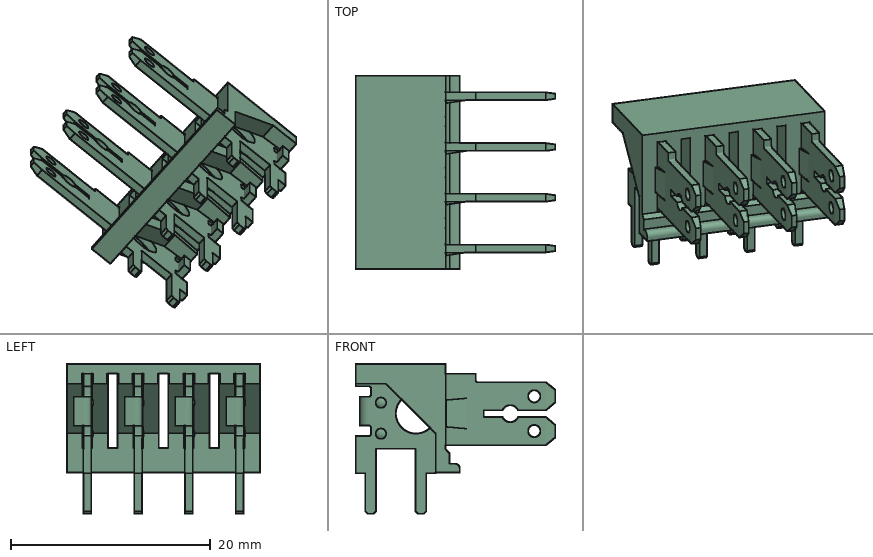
import cadquery as cq

POLES = 4
PITCH = 5.08
PLATE_THICK = 0.8

HOUSING_LENGTH = 19.35
TOTAL_HEIGHT = 15.0
HOUSING_DEPTH = 9.0
HOUSING_BASE_Z = 4.12
FRONT_LIP_Z = 13.0
FRONT_LIP_DEPTH = 3.05
WEB_FACE_X = 8.0
FOOT_END_X = 10.45
FOOT_TOP_Z = 5.02
FOOT_ROUND = 0.5
STEP_X = 9.4
STEP_Z = 6.05
STEP_SLOPE_TOP_Z = 6.5

SLOT_WIDTH = 0.95
SLOT_BOTTOM_Z = 6.6
SLOT_TOP_Z = 14.05
SLOT_MOUTH_WIDTH = 1.15
SLOT_MOUTH_DEPTH = FRONT_LIP_DEPTH

SHOULDER_Z = 4.05
LEG_WIDTH = 1.1
LEG_FRONT_X = 0.95
LEG_GAP = 3.92
LEG_GAP_TOP_Z = 6.5
LEG_TIP_CHAMFER = 0.25
TERMINAL_TOP_Z = SLOT_TOP_Z
NECK_END_X = 12.05

BLADE_MID_Z = 10.02
BLADE_WIDTH = 6.32
BLADE_END_X = 20.0
BLADE_TAPER = 0.95
BLADE_TIP_INSET = 0.78
PRONG_TIP_WIDTH = 1.25
BLADE_TIP_THICK = 0.52
BLADE_SLIT_WIDTH = 0.65
BLADE_SLIT_START_X = 12.85
SLIT_EYE_X = 15.48
SLIT_EYE_DIAMETER = 1.68
PRONG_HOLE_X = 17.88
PRONG_HOLE_OFFSET = 1.75
PRONG_HOLE_DIAMETER = 1.2
CORNER_ROUND = 0.15

WINDOW_X = 6.05
WINDOW_Z = 10.05
WINDOW_DIAMETER = 4.0

NOTCH_DEPTH = 1.55
NOTCH_ROUND = 0.22
NOTCH_BOTTOM_Z = 7.8
NOTCH_TOP_Z = 12.75
TAB_BOTTOM_Z = 8.82
TAB_TOP_Z = 11.72
TAB_FRONT_X = 0.4
TAB_BEND_RADIUS = 0.85
TAB_REACH = 1.75

DIMPLE_X = 2.55
DIMPLE_BOTTOM_Z = 8.02
DIMPLE_TOP_Z = 11.12
DIMPLE_DIAMETER = 1.05
DIMPLE_HEIGHT = 0.18

BARB_START_X = 9.05
BARB_END_X = 11.08
BARB_MID_Z = 10.05
BARB_START_HEIGHT = 2.68
BARB_END_HEIGHT = 3.05
BARB_LIFT = 0.3

SLOT_PITCH = PITCH / 2
SLOT_COUNT = 2 * POLES - 1
BLADE_TOP_Z = BLADE_MID_Z + BLADE_WIDTH / 2
BLADE_BOTTOM_Z = BLADE_MID_Z - BLADE_WIDTH / 2
BLADE_TIP_TOP_Z = BLADE_TOP_Z - BLADE_TIP_INSET
BLADE_TIP_BOTTOM_Z = BLADE_BOTTOM_Z + BLADE_TIP_INSET
REAR_LEG_X = LEG_FRONT_X + LEG_WIDTH + LEG_GAP
TAPER_START_X = BLADE_END_X - BLADE_TAPER
TAB_BEND_X = TAB_FRONT_X + TAB_BEND_RADIUS
PLATE_FACE_Y = -PLATE_THICK / 2


def centred_places(count, spacing):
    """Y places of a row that is centred on Y = 0."""
    return [(i - (count - 1) / 2) * spacing for i in range(count)]


def extrude_along_y(sketch, width):
    """Extrude an XZ sketch symmetrically about Y = 0."""
    return sketch.extrude(width).translate((0, width / 2, 0))


def y_cylinder(x, z, diameter):
    """Cutting cylinder through the terminal plate."""
    return extrude_along_y(cq.Workplane("XZ").center(x, z).circle(diameter / 2), 2 * PLATE_THICK)


def housing_block():
    diagonal_end_z = FRONT_LIP_Z - (WEB_FACE_X - FRONT_LIP_DEPTH)
    outline = (
        cq.Workplane("XZ")
        .moveTo(0, FRONT_LIP_Z)
        .lineTo(FRONT_LIP_DEPTH, FRONT_LIP_Z)
        .lineTo(WEB_FACE_X, diagonal_end_z)
        .lineTo(WEB_FACE_X, HOUSING_BASE_Z)
        .lineTo(FOOT_END_X, HOUSING_BASE_Z)
        .lineTo(FOOT_END_X, FOOT_TOP_Z - FOOT_ROUND)
        .radiusArc((FOOT_END_X - FOOT_ROUND, FOOT_TOP_Z), -FOOT_ROUND)
        .lineTo(STEP_X, FOOT_TOP_Z)
        .lineTo(STEP_X, STEP_Z)
        .lineTo(HOUSING_DEPTH, STEP_SLOPE_TOP_Z)
        .lineTo(HOUSING_DEPTH, TOTAL_HEIGHT)
        .lineTo(0, TOTAL_HEIGHT)
        .close()
    )
    return extrude_along_y(outline, HOUSING_LENGTH)


def housing_slot(y):
    """Slot through the housing along X, flared at the front."""
    half = SLOT_WIDTH / 2
    half_mouth = SLOT_MOUTH_WIDTH / 2
    return (
        cq.Workplane("XY", origin=(0, y, SLOT_BOTTOM_Z))
        .polyline([
            (0, -half_mouth),
            (SLOT_MOUTH_DEPTH, -half),
            (HOUSING_DEPTH, -half),
            (HOUSING_DEPTH, half),
            (SLOT_MOUTH_DEPTH, half),
            (0, half_mouth),
        ])
        .close()
        .extrude(SLOT_TOP_Z - SLOT_BOTTOM_Z)
    )


def make_housing():
    housing = housing_block()
    for y in centred_places(SLOT_COUNT, SLOT_PITCH):
        housing = housing.cut(housing_slot(y))
    return housing


def leg(front_x):
    """Solder leg with a chamfered tip."""
    return (
        cq.Workplane("XY")
        .center(front_x + LEG_WIDTH / 2, 0)
        .rect(LEG_WIDTH, PLATE_THICK)
        .extrude(LEG_GAP_TOP_Z)
        .faces("<Z")
        .edges("|Y")
        .chamfer(LEG_TIP_CHAMFER)
    )


def plate_body():
    """Plate from the front edge to the back web, with the neck and blade behind it."""
    outline = (
        cq.Workplane("XZ")
        .polyline([
            (0, SHOULDER_Z),
            (LEG_FRONT_X + LEG_WIDTH, SHOULDER_Z),
            (LEG_FRONT_X + LEG_WIDTH, LEG_GAP_TOP_Z),
            (REAR_LEG_X, LEG_GAP_TOP_Z),
            (REAR_LEG_X, SHOULDER_Z),
            (WEB_FACE_X, SHOULDER_Z),
            (WEB_FACE_X, BLADE_BOTTOM_Z),
            (TAPER_START_X, BLADE_BOTTOM_Z),
            (BLADE_END_X, BLADE_TIP_BOTTOM_Z),
            (BLADE_END_X, BLADE_TIP_TOP_Z),
            (TAPER_START_X, BLADE_TOP_Z),
            (NECK_END_X, BLADE_TOP_Z),
            (NECK_END_X, TERMINAL_TOP_Z),
            (0, TERMINAL_TOP_Z),
        ])
        .close()
    )
    plate = extrude_along_y(outline, PLATE_THICK)
    inner_corner = cq.selectors.NearestToPointSelector((NECK_END_X, 0, BLADE_TOP_Z))
    return plate.edges("|Y").edges(inner_corner).fillet(CORNER_ROUND)


def front_notch(bottom_z, top_z):
    """Recess in the front edge, above or below the tab, with rounded inner corners."""
    notch = (
        cq.Workplane("XY", origin=(NOTCH_DEPTH / 2, 0, bottom_z))
        .rect(NOTCH_DEPTH, 2 * PLATE_THICK)
        .extrude(top_z - bottom_z)
    )
    return notch.edges("|Y and >X").fillet(NOTCH_ROUND)


def tab_clearance():
    """Flat plate in front of the bend, which the curled tab replaces."""
    return (
        cq.Workplane("XY", origin=(TAB_BEND_X / 2, 0, TAB_BOTTOM_Z))
        .rect(TAB_BEND_X, 2 * PLATE_THICK)
        .extrude(TAB_TOP_Z - TAB_BOTTOM_Z)
    )


def blade_slit():
    """Slit between the prongs: straight, with a round eye and a flared mouth."""
    half = BLADE_SLIT_WIDTH / 2
    half_mouth = BLADE_TIP_TOP_Z - PRONG_TIP_WIDTH - BLADE_MID_Z
    outline = (
        cq.Workplane("XZ", origin=(0, 0, BLADE_MID_Z))
        .polyline([
            (BLADE_SLIT_START_X, -half),
            (TAPER_START_X, -half),
            (BLADE_END_X, -half_mouth),
            (BLADE_END_X, half_mouth),
            (TAPER_START_X, half),
            (BLADE_SLIT_START_X, half),
        ])
        .close()
    )
    eye = y_cylinder(SLIT_EYE_X, BLADE_MID_Z, SLIT_EYE_DIAMETER)
    return extrude_along_y(outline, 2 * PLATE_THICK).union(eye)


def tip_thinning(side):
    """Wedge removed from one face (side = +1 or -1) to thin the blade tip."""
    full = side * PLATE_THICK / 2
    thin = side * BLADE_TIP_THICK / 2
    return (
        cq.Workplane("XY", origin=(0, 0, BLADE_BOTTOM_Z))
        .polyline([(TAPER_START_X, full), (BLADE_END_X, full), (BLADE_END_X, thin)])
        .close()
        .extrude(BLADE_WIDTH)
    )


def curled_tab():
    """Tab of full sheet thickness bent from the front edge towards +Y."""
    bend_y = PLATE_FACE_Y + TAB_BEND_RADIUS
    inner_radius = TAB_BEND_RADIUS - PLATE_THICK
    back_x = TAB_FRONT_X + PLATE_THICK
    end_y = PLATE_FACE_Y + TAB_REACH
    return (
        cq.Workplane("XY", origin=(0, 0, TAB_BOTTOM_Z))
        .moveTo(TAB_BEND_X, PLATE_FACE_Y)
        .radiusArc((TAB_FRONT_X, bend_y), TAB_BEND_RADIUS)
        .lineTo(TAB_FRONT_X, end_y)
        .lineTo(back_x, end_y)
        .lineTo(back_x, bend_y)
        .radiusArc((TAB_BEND_X, -PLATE_FACE_Y), -inner_radius)
        .close()
        .extrude(TAB_TOP_Z - TAB_BOTTOM_Z)
    )


def dimple(z):
    """Spherical cap raised on the -Y face."""
    half = DIMPLE_DIAMETER / 2
    radius = (half ** 2 + DIMPLE_HEIGHT ** 2) / (2 * DIMPLE_HEIGHT)
    centre_y = PLATE_FACE_Y - DIMPLE_HEIGHT + radius
    ball = cq.Workplane("XY").sphere(radius).translate((DIMPLE_X, centre_y, z))
    outside = (
        cq.Workplane("XZ", origin=(DIMPLE_X, PLATE_FACE_Y, z))
        .circle(DIMPLE_DIAMETER)
        .extrude(2 * DIMPLE_HEIGHT)
    )
    return ball.intersect(outside)


def locking_barb():
    """Wedge on the -Y face whose steep end faces the housing back."""
    outline = (
        cq.Workplane("XZ", origin=(0, PLATE_FACE_Y, BARB_MID_Z))
        .polyline([
            (BARB_START_X, -BARB_START_HEIGHT / 2),
            (BARB_END_X, -BARB_END_HEIGHT / 2),
            (BARB_END_X, BARB_END_HEIGHT / 2),
            (BARB_START_X, BARB_START_HEIGHT / 2),
        ])
        .close()
        .extrude(BARB_LIFT)
    )
    wedge = (
        cq.Workplane("XY", origin=(0, 0, BARB_MID_Z))
        .polyline([
            (BARB_START_X, PLATE_FACE_Y),
            (BARB_START_X, PLATE_FACE_Y - BARB_LIFT),
            (BARB_END_X, PLATE_FACE_Y),
        ])
        .close()
        .extrude(BARB_END_HEIGHT / 2, both=True)
    )
    return outline.intersect(wedge)


def make_terminal():
    terminal = plate_body()
    for front_x in (LEG_FRONT_X, REAR_LEG_X):
        terminal = terminal.union(leg(front_x))
    terminal = terminal.cut(front_notch(NOTCH_BOTTOM_Z, TAB_BOTTOM_Z))
    terminal = terminal.cut(front_notch(TAB_TOP_Z, NOTCH_TOP_Z))
    terminal = terminal.cut(tab_clearance()).union(curled_tab())
    terminal = terminal.cut(y_cylinder(WINDOW_X, WINDOW_Z, WINDOW_DIAMETER))
    terminal = terminal.cut(blade_slit())
    for side in (1, -1):
        hole_z = BLADE_MID_Z + side * PRONG_HOLE_OFFSET
        terminal = terminal.cut(y_cylinder(PRONG_HOLE_X, hole_z, PRONG_HOLE_DIAMETER))
        terminal = terminal.cut(tip_thinning(side))
    for z in (DIMPLE_BOTTOM_Z, DIMPLE_TOP_Z):
        terminal = terminal.union(dimple(z))
    return terminal.union(locking_barb())


housing = make_housing()
terminal = make_terminal()
terminals = [terminal.translate((0, y, 0)).val() for y in centred_places(POLES, PITCH)]

result = cq.Compound.makeCompound([housing.val(), *terminals])